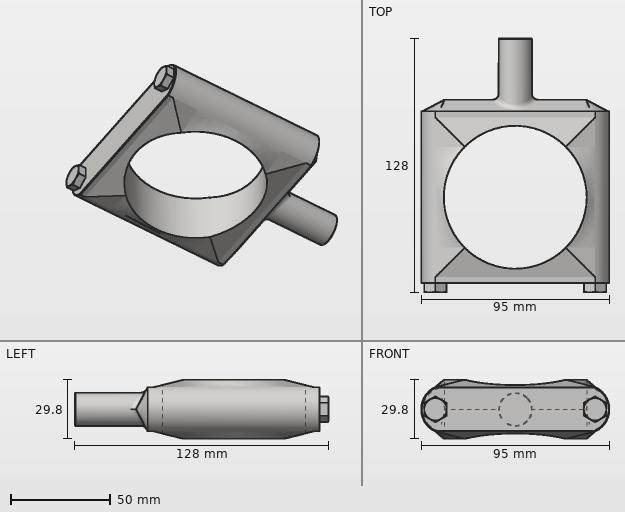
import cadquery as cq
import math

body_width = 95.0
body_length = 86.8
body_height = 22.4
side_radius = 12.3
end_chamfer = 0.4
bore_diameter = 72.0
total_height = 29.8
collar_length = 80.4

ridge_half_length = 35.6
ridge_rise = 5.9
stem_diameter = 16.9
stem_end = 80.1
stem_chamfer = 0.4
stem_fillet = 2.8

bolt_flats = 11.3
bolt_head_height = 4.5
bolt_bevel = 0.4

half_height = body_height / 2
front_y = -body_length / 2
back_y = body_length / 2
side_center_x = body_width / 2 - side_radius
flat_half_width = side_center_x + math.sqrt(side_radius**2 - half_height**2)
bore_radius = bore_diameter / 2
corner = bore_radius * math.cos(math.radians(45))
collar_rise = total_height / 2 - half_height
bolt_x = flat_half_width


def make_body():
    """Flat bar with arc-shaped sides, bevelled around its front face."""
    body = (
        cq.Workplane("XZ", origin=(0, back_y, 0))
        .moveTo(-flat_half_width, half_height)
        .lineTo(flat_half_width, half_height)
        .threePointArc((body_width / 2, 0), (flat_half_width, -half_height))
        .lineTo(-flat_half_width, -half_height)
        .threePointArc((-body_width / 2, 0), (-flat_half_width, half_height))
        .close()
        .extrude(body_length)
    )
    return body.faces("<Y").chamfer(end_chamfer)


def make_collar():
    """Raised collar on the top face, level with the bore rim along both sides."""
    hip = (
        cq.Workplane("XY", origin=(0, 0, half_height))
        .rect(2 * flat_half_width, collar_length)
        .workplane(offset=collar_rise)
        .rect(2 * corner, 2 * corner)
        .loft(ruled=True)
    )
    saddle = (
        cq.Workplane("XY", origin=(0, 0, half_height))
        .moveTo(-flat_half_width, -corner)
        .lineTo(flat_half_width, -corner)
        .lineTo(flat_half_width, corner)
        .lineTo(-flat_half_width, corner)
        .close()
        .workplane(offset=collar_rise)
        .moveTo(-corner, -corner)
        .lineTo(corner, -corner)
        .threePointArc((bore_radius, 0), (corner, corner))
        .lineTo(-corner, corner)
        .threePointArc((-bore_radius, 0), (-corner, -corner))
        .close()
        .loft(ruled=True)
    )
    return hip.union(saddle)


def make_back():
    """Roof-shaped back with its stem, blended in halves that meet at the ridge plane."""
    slope = (
        cq.Workplane("YZ", origin=(-ridge_half_length, 0, 0))
        .moveTo(back_y, half_height)
        .lineTo(back_y + 2 * ridge_rise, -half_height)
        .lineTo(back_y, -half_height)
        .close()
        .extrude(2 * ridge_half_length)
    )
    stem = (
        cq.Workplane("XZ", origin=(0, back_y, 0))
        .circle(stem_diameter / 2)
        .extrude(back_y - stem_end)
        .faces(">Y")
        .chamfer(stem_chamfer)
    )
    blended = slope.union(stem).edges("%ELLIPSE").fillet(stem_fillet)
    upper_space = cq.Workplane("XY").box(
        body_width, 2 * stem_end, body_height, centered=(True, True, False)
    )
    upper_half = blended.intersect(upper_space)
    back = upper_half.union(upper_half.mirror("XY"))

    for x in (-ridge_half_length, ridge_half_length):
        cone = cq.Solid.makeCone(
            half_height, 0, ridge_rise, cq.Vector(x, back_y, 0), cq.Vector(0, 1, 0)
        )
        back = back.union(cq.Workplane(cone))
    return back


def make_bolt_head(x):
    """Hexagon head on the front face, corners along Z, with its outer corners bevelled."""
    across_corners = bolt_flats / math.cos(math.radians(30))
    hexagon = (
        cq.Workplane("XZ", origin=(x, front_y, 0))
        .transformed(rotate=(0, 0, 90))
        .polygon(6, across_corners)
        .extrude(bolt_head_height)
    )
    bevelled_disc = (
        cq.Workplane("XZ", origin=(x, front_y, 0))
        .circle(across_corners / 2)
        .extrude(bolt_head_height)
        .faces("<Y")
        .chamfer(bolt_bevel, (across_corners - bolt_flats) / 2)
    )
    return hexagon.intersect(bevelled_disc)


def make_bore():
    """Cylinder that clears the whole height of the clamp."""
    bottom = cq.Workplane("XY", origin=(0, 0, -total_height))
    return bottom.circle(bore_radius).extrude(2 * total_height)


result = make_body().union(make_back())
collar = make_collar()
result = result.union(collar).union(collar.mirror("XY"))
result = result.cut(make_bore())
for head_x in (-bolt_x, bolt_x):
    result = result.union(make_bolt_head(head_x))